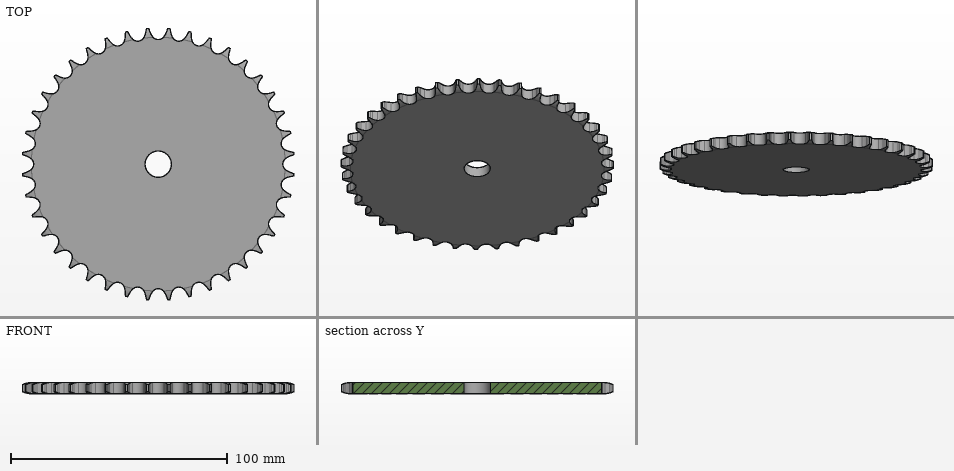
import cadquery as cq
import math


tooth_count = 40
overall_size = 125.2
thickness = 5.3
bore_diameter = 12.0

pitch_radius = 60.7
seat_radius = 3.3
flank_radius = 8.3
flat_length = 0.9
topping_radius = 5.1
seat_half_angle = math.radians(55 - 60 / tooth_count)
flank_angle = math.radians(18 - 56 / tooth_count)

face_radius = 58.5
side_round_radius = 9.5
rim_clearance = 1.3

tooth_pitch_angle = 2 * math.pi / tooth_count
half_thickness = thickness / 2
tip_corner_height = overall_size / 2


def polar(center, radius, angle):
    """Point at a radius from center, at an angle from the direction toward the sprocket axis.

    A negative radius gives the opposite point.
    """
    return (center[0] - radius * math.cos(angle), center[1] + radius * math.sin(angle))


def half_gap_points():
    """Points up one side of the gap lying on +X, from the root to the tip corner."""
    seat_center = (pitch_radius, 0)
    root = polar(seat_center, seat_radius, 0)
    seat_mid = polar(seat_center, seat_radius, seat_half_angle / 2)
    seat_end = polar(seat_center, seat_radius, seat_half_angle)

    flank_center = polar(seat_center, seat_radius - flank_radius, seat_half_angle)
    flat_angle = seat_half_angle + flank_angle
    flank_mid = polar(flank_center, flank_radius, seat_half_angle + flank_angle / 2)
    flank_end = polar(flank_center, flank_radius, flat_angle)

    flat_end = (
        flank_end[0] + flat_length * math.sin(flat_angle),
        flank_end[1] + flat_length * math.cos(flat_angle),
    )

    topping_center = polar(flat_end, topping_radius, flat_angle)
    rise = tip_corner_height - topping_center[0]
    tip_angle = math.acos(rise / topping_radius)
    topping_mid = polar(topping_center, -topping_radius, (flat_angle + tip_angle) / 2)
    tip_corner = polar(topping_center, -topping_radius, tip_angle)
    return [root, seat_mid, seat_end, flank_mid, flank_end, flat_end, topping_mid, tip_corner]


def tooth_plate():
    """Full-thickness plate with the toothed outline."""
    rising_side = half_gap_points()
    tip_corner = rising_side[-1]
    tip_radius = math.hypot(*tip_corner)

    def place(point, gap_angle, side):
        """Turn a point to the gap at gap_angle, mirrored across that gap if side is -1."""
        radius = math.hypot(*point)
        angle = gap_angle + side * math.atan2(point[1], point[0])
        return (radius * math.cos(angle), radius * math.sin(angle))

    outline = cq.Workplane("XY").workplane(offset=-half_thickness)
    outline = outline.moveTo(*rising_side[0])
    for gap in range(tooth_count):
        gap_angle = gap * tooth_pitch_angle
        next_gap_angle = gap_angle + tooth_pitch_angle
        up = [place(point, gap_angle, 1) for point in rising_side]
        down = [place(point, next_gap_angle, -1) for point in reversed(rising_side)]
        tip_mid = place((tip_radius, 0), gap_angle + tooth_pitch_angle / 2, 1)
        outline = (
            outline
            .threePointArc(up[1], up[2])
            .threePointArc(up[3], up[4])
            .lineTo(*up[5])
            .threePointArc(up[6], up[7])
            .threePointArc(tip_mid, down[0])
            .threePointArc(down[1], down[2])
            .lineTo(*down[3])
            .threePointArc(down[4], down[5])
            .threePointArc(down[6], down[7])
        )
    return outline.close().extrude(thickness)


def rounded_disc():
    """Disc whose faces curve inward beyond face_radius, up to outside the teeth."""
    rim_radius = overall_size / 2 + rim_clearance

    def round_height(radius):
        """Half thickness of the rounded rim at a radius."""
        run = radius - face_radius
        return half_thickness - side_round_radius + math.sqrt(side_round_radius**2 - run**2)

    mid_radius = (face_radius + rim_radius) / 2
    mid_height = round_height(mid_radius)
    rim_height = round_height(rim_radius)
    return (
        cq.Workplane("XZ")
        .moveTo(0, -half_thickness)
        .lineTo(face_radius, -half_thickness)
        .threePointArc((mid_radius, -mid_height), (rim_radius, -rim_height))
        .lineTo(rim_radius, rim_height)
        .threePointArc((mid_radius, mid_height), (face_radius, half_thickness))
        .lineTo(0, half_thickness)
        .close()
        .revolve(360, (0, 0, 0), (0, 1, 0))
    )


def bore():
    """Cylinder that cuts the through bore."""
    return cq.Workplane("XY").circle(bore_diameter / 2).extrude(half_thickness, both=True)


result = tooth_plate().intersect(rounded_disc()).cut(bore())